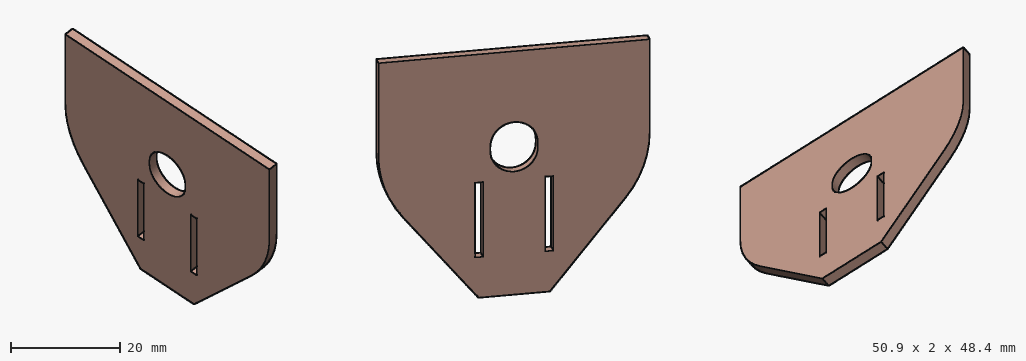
import cadquery as cq

plate_width = 50.9
plate_height = 48.41
plate_thickness = 2.0
bottom_edge_width = 13.4
shoulder_height = 22.9
shoulder_radius = 20.0

hole_width = 8.9
hole_length = 9.8
hole_center_height = 29.4

slot_width = 1.5
slot_length = 14.8
slot_bottom_height = 8.1
slot_spacing = 13.2


def make_plate():
    """Shield-shaped plate, centred on the XZ plane, with rounded shoulders."""
    half_width = plate_width / 2
    half_bottom = bottom_edge_width / 2
    outline = [
        (-half_bottom, 0),
        (half_bottom, 0),
        (half_width, shoulder_height),
        (half_width, plate_height),
        (-half_width, plate_height),
        (-half_width, shoulder_height),
    ]
    plate = cq.Workplane("XZ").polyline(outline).close().extrude(plate_thickness / 2, both=True)
    shoulder_edges = cq.selectors.BoxSelector(
        (-plate_width, -plate_thickness, shoulder_height / 2),
        (plate_width, plate_thickness, (shoulder_height + plate_height) / 2),
    )
    return plate.edges("|Y").edges(shoulder_edges).fillet(shoulder_radius)


def make_round_hole():
    """Cutter for the elongated hole with semicircular ends."""
    return (
        cq.Workplane("XZ")
        .center(0, hole_center_height)
        .slot2D(hole_length, hole_width, angle=90)
        .extrude(plate_thickness, both=True)
    )


def make_slots():
    """Cutter for the two square-ended slots."""
    half_spacing = slot_spacing / 2
    return (
        cq.Workplane("XZ")
        .center(0, slot_bottom_height + slot_length / 2)
        .pushPoints([(-half_spacing, 0), (half_spacing, 0)])
        .rect(slot_width, slot_length)
        .extrude(plate_thickness, both=True)
    )


result = make_plate().cut(make_round_hole()).cut(make_slots())